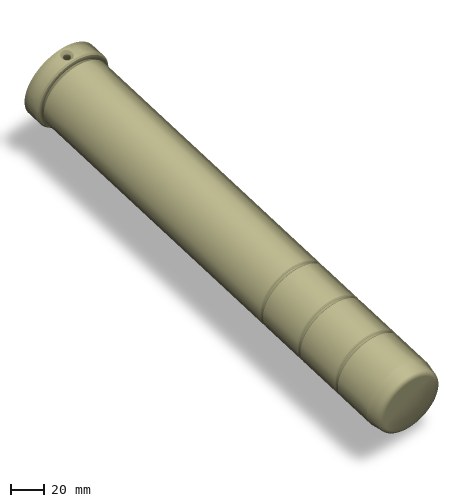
import cadquery as cq

length = 330.0
head_radius = 28.0
head_length = 12.2
head_chamfer = 1.0
shaft_radius = 25.0

neck_radius = 24.0
neck_length = 2.3
neck_taper = 1.3

groove_count = 3
first_groove_center = 219.8
groove_pitch = 35.3
groove_width = 3.3
groove_floor_width = 1.3
groove_depth = 1.0

nose_length = 10.5
nose_end_radius = 23.0
nose_fillet = 3.0

center_mouth_radius = 3.3
center_bore_radius = 1.5
center_cone_depth = 3.0
center_bore_depth = 8.0

radial_mouth_radius = 4.3
radial_bore_radius = 2.3
radial_cone_depth = 2.0
radial_bore_depth = 10.0
radial_hole_x = head_length / 2


def revolve_about_x(points):
    """Revolve a closed X-radius outline about the pin axis."""
    profile = cq.Workplane("XY").polyline(points).close()
    return profile.revolve(360, (0, 0, 0), (1, 0, 0))


def pin_body():
    """Head, relief neck, shaft and rounded nose."""
    neck_end = head_length + neck_length
    body = revolve_about_x([
        (0, 0),
        (0, head_radius),
        (head_length - head_chamfer, head_radius),
        (head_length, head_radius - head_chamfer),
        (head_length, neck_radius),
        (neck_end - neck_taper, neck_radius),
        (neck_end, shaft_radius),
        (length - nose_length, shaft_radius),
        (length, nose_end_radius),
        (length, 0),
    ])
    return body.faces(">X").edges().fillet(nose_fillet)


def groove_cutter(center):
    """Ring with a trapezoidal section, extended along its walls past the shaft surface."""
    floor_radius = shaft_radius - groove_depth
    outer_radius = shaft_radius + groove_depth
    half_floor = groove_floor_width / 2
    half_outer = groove_width - half_floor
    return revolve_about_x([
        (center - half_floor, floor_radius),
        (center - half_outer, outer_radius),
        (center + half_outer, outer_radius),
        (center + half_floor, floor_radius),
    ])


def countersunk_hole(mouth_radius, bore_radius, cone_depth, bore_depth):
    """Cutter along +X from the origin: a conical mouth followed by a flat-ended bore."""
    return revolve_about_x([
        (0, 0),
        (0, mouth_radius),
        (cone_depth, bore_radius),
        (bore_depth, bore_radius),
        (bore_depth, 0),
    ])


result = pin_body()
for index in range(groove_count):
    result = result.cut(groove_cutter(first_groove_center + index * groove_pitch))

center_hole = countersunk_hole(
    center_mouth_radius, center_bore_radius, center_cone_depth, center_bore_depth
)
result = result.cut(center_hole)

radial_hole = countersunk_hole(
    radial_mouth_radius, radial_bore_radius, radial_cone_depth, radial_bore_depth
)
radial_hole = radial_hole.rotate((0, 0, 0), (0, 1, 0), 90)
result = result.cut(radial_hole.translate((radial_hole_x, 0, head_radius)))